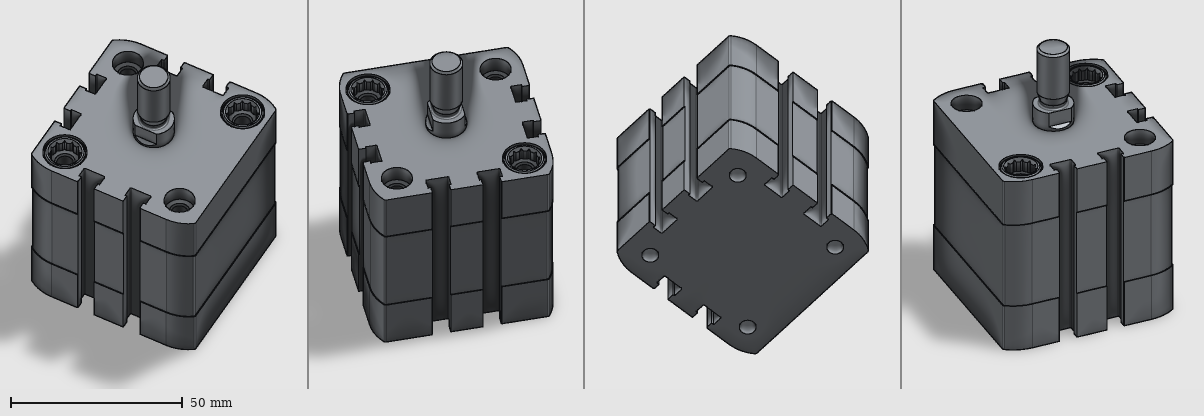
import cadquery as cq
import math


width = 54.5
half_width = width / 2
housing_height = 57.6
cap_height = 15.0
barrel_inset = 0.25
corner_arc_radius = 13.6
corner_edge_round = 0.8

slot_tooth_side = 4.8
slot_mouth_side = 10.3
slot_step_side = 10.4
slot_near_side = 4.2
slot_far_side = 11.1
slot_mouth_depth = 2.2
slot_depth = 5.55
slot_corner_round = 0.3

screw_offset = 19.05
through_diameter = 4.9
chamfer_diameter = 6.0
plain_bore_diameter = 9.0
plain_bore_depth = 5.0

head_recess_diameter = 12.8
head_diameter = 11.9
head_groove_depth = 1.0
head_chamfer = 0.4
socket_mouth_diameter = 9.9
socket_point_diameter = 9.3
socket_land_diameter = 8.5
socket_depth = 4.5
socket_taper = 30
socket_points = 12
socket_point_half_angle = 7.5

rod_top = 82.8
rod_diameter = 12.0
rod_depth = cap_height
collar_height = 6.05
flat_spacing = 9.6
flat_height = 4.55
flat_runout_angle = 35
thread_diameter = 9.6
thread_length = 15.0
thread_chamfer = 0.7
neck_diameter = 7.95
groove_diameter = 7.7
neck_taper_length = 2.5
groove_edge = 0.29
neck_root_fillet = 0.6


def body_prism(inset, bottom, height):
    """Square prism whose corners are cut by large arcs tangent to the Y faces."""
    half = half_width - inset
    radius = corner_arc_radius - inset
    arc_start = screw_offset
    arc_middle = (arc_start + half) / 2
    arc_center = half - radius
    middle_y = arc_center + math.sqrt(radius**2 - (arc_middle - arc_start) ** 2)
    end_y = arc_center + math.sqrt(radius**2 - (half - arc_start) ** 2)
    return (
        cq.Workplane("XY", origin=(0, 0, bottom))
        .moveTo(-arc_start, half)
        .lineTo(arc_start, half)
        .threePointArc((arc_middle, middle_y), (half, end_y))
        .lineTo(half, -end_y)
        .threePointArc((arc_middle, -middle_y), (arc_start, -half))
        .lineTo(-arc_start, -half)
        .threePointArc((-arc_middle, -middle_y), (-half, -end_y))
        .lineTo(-half, end_y)
        .threePointArc((-arc_middle, middle_y), (-arc_start, half))
        .close()
        .extrude(height)
        .edges("|Z and (<X or >X)")
        .fillet(corner_edge_round)
    )


def slot_box(side_near, side_far, depth_near, depth_far):
    """Full-height box in the +Y face, placed from the face middle and by its depths."""
    return (
        cq.Workplane("XY")
        .box(side_far - side_near, depth_far - depth_near, housing_height, centered=False)
        .translate((side_near, half_width - depth_far, 0))
    )


def slot_cutter():
    """T-slot on the right half of the +Y face; the shallow step only reaches the caps."""
    wide_part = (
        slot_box(slot_near_side, slot_far_side, slot_mouth_depth, slot_depth)
        .edges("|Z and <Y")
        .fillet(slot_corner_round)
    )
    mouth = slot_box(slot_tooth_side, slot_mouth_side, 0, slot_mouth_depth)
    step = slot_box(slot_mouth_side, slot_step_side, 0, barrel_inset)
    return wide_part.union(mouth).union(step)


def slot_cutters():
    """The slot pair of one face, repeated on the +Y, -X and -Y faces."""
    right_slot = slot_cutter()
    pair = [right_slot, right_slot.mirror("YZ")]
    return [
        slot.rotate((0, 0, 0), (0, 0, 1), angle)
        for angle in (0, 90, 180)
        for slot in pair
    ]


def cylinder(diameter, bottom, top):
    return cq.Workplane("XY", origin=(0, 0, bottom)).circle(diameter / 2).extrude(top - bottom)


def revolved(profile):
    """Solid of revolution about Z of a closed outline in radius and height."""
    return spin(cq.Workplane("XZ").polyline(profile))


def spin(outline):
    return outline.close().revolve(360, (0, 0, 0), (0, 1, 0))


def through_hole(seat):
    """Through hole with a 45 degree chamfer at the seat height."""
    hole_radius = through_diameter / 2
    chamfer_radius = chamfer_diameter / 2
    return revolved([
        (0, 0),
        (hole_radius, 0),
        (hole_radius, seat - (chamfer_radius - hole_radius)),
        (chamfer_radius, seat),
        (0, seat),
    ])


def plain_screw_hole():
    seat = housing_height - plain_bore_depth
    return through_hole(seat).union(cylinder(plain_bore_diameter, seat, housing_height))


def point(radius, angle):
    return (radius * math.cos(math.radians(angle)), radius * math.sin(math.radians(angle)))


def socket_star():
    """Outline of the multi-point socket: round lands between pointed grooves."""
    land_radius = socket_land_diameter / 2
    step = 360 / socket_points
    star = cq.Workplane("XY", origin=(0, 0, housing_height - socket_depth)).moveTo(
        *point(land_radius, socket_point_half_angle - step)
    )
    for index in range(socket_points):
        tip = index * step
        star = (
            star.threePointArc(
                point(land_radius, tip - step / 2),
                point(land_radius, tip - socket_point_half_angle),
            )
            .lineTo(*point(socket_point_diameter / 2, tip))
            .lineTo(*point(land_radius, tip + socket_point_half_angle))
        )
    return star.close().extrude(socket_depth)


def socket_screw_hole():
    """Groove around a chamfered screw head, and its tapered multi-point socket."""
    top = housing_height
    head_radius = head_diameter / 2
    recess_radius = head_recess_diameter / 2
    groove = revolved([
        (recess_radius, top),
        (recess_radius, top - head_groove_depth),
        (head_radius, top - head_groove_depth),
        (head_radius, top - head_chamfer),
        (head_radius - head_chamfer, top),
    ])
    mouth_radius = socket_mouth_diameter / 2
    mouth_bottom_radius = through_diameter / 2
    mouth_depth = (mouth_radius - mouth_bottom_radius) / math.tan(math.radians(socket_taper))
    mouth = revolved([
        (0, top),
        (mouth_radius, top),
        (mouth_bottom_radius, top - mouth_depth),
        (0, top - mouth_depth),
    ])
    return through_hole(top - socket_depth).union(socket_star()).union(mouth).union(groove)


def make_housing():
    barrel_height = housing_height - 2 * cap_height
    housing = body_prism(barrel_inset, cap_height, barrel_height)
    for bottom in (0, housing_height - cap_height):
        housing = housing.union(body_prism(0, bottom, cap_height))
    for slot in slot_cutters():
        housing = housing.cut(slot)
    for side in (-1, 1):
        x = side * screw_offset
        housing = housing.cut(socket_screw_hole().translate((x, x, 0)))
        housing = housing.cut(plain_screw_hole().translate((x, -x, 0)))
    return housing.cut(cylinder(rod_diameter, housing_height - rod_depth, housing_height))


def wrench_flat():
    """Cutter for the flat on the -Y side, with a sloped lower end."""
    collar_top = housing_height + collar_height
    flat_bottom = collar_top - flat_height
    flat_y = -flat_spacing / 2
    outside_y = -rod_diameter
    slope_drop = (flat_y - outside_y) * math.tan(math.radians(flat_runout_angle))
    return (
        cq.Workplane("YZ")
        .moveTo(flat_y, collar_top)
        .lineTo(flat_y, flat_bottom)
        .lineTo(outside_y, flat_bottom - slope_drop)
        .lineTo(outside_y, collar_top)
        .close()
        .extrude(rod_diameter / 2, both=True)
    )


def make_piston_rod():
    collar_top = housing_height + collar_height
    thread_bottom = rod_top - thread_length
    neck_top = thread_bottom - neck_taper_length
    groove_top = neck_top - groove_edge
    rod_radius = rod_diameter / 2
    thread_radius = thread_diameter / 2
    groove_radius = groove_diameter / 2
    outline = (
        cq.Workplane("XZ")
        .moveTo(0, housing_height - rod_depth)
        .lineTo(rod_radius, housing_height - rod_depth)
        .lineTo(rod_radius, collar_top)
        .lineTo(groove_radius + neck_root_fillet, collar_top)
        .radiusArc((groove_radius, collar_top + neck_root_fillet), neck_root_fillet)
        .lineTo(groove_radius, groove_top)
        .lineTo(neck_diameter / 2, neck_top)
        .lineTo(thread_radius, thread_bottom)
        .lineTo(thread_radius, rod_top - thread_chamfer)
        .lineTo(thread_radius - thread_chamfer, rod_top)
        .lineTo(0, rod_top)
    )
    rod = spin(outline)
    flat = wrench_flat()
    return rod.cut(flat).cut(flat.mirror("XZ"))


housing = make_housing()
piston_rod = make_piston_rod()

result = cq.Compound.makeCompound([housing.val(), piston_rod.val()])